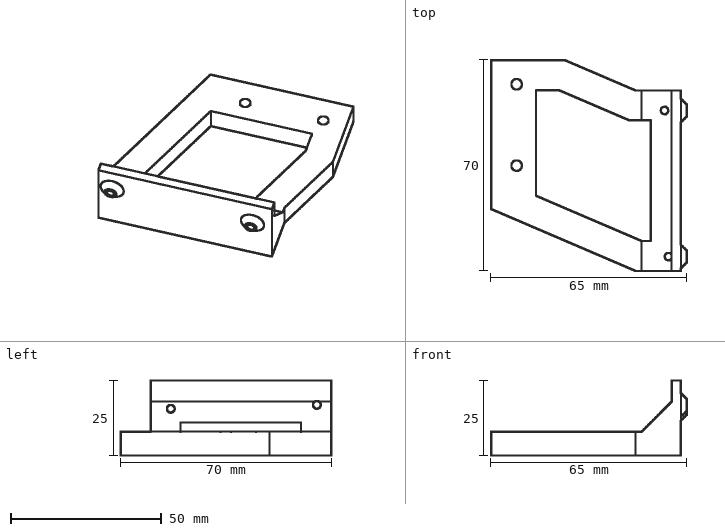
import cadquery as cq
import math

plate_thickness = 8.0
plate_width = 70.0
wall_length = 60.0
wall_outer_x = 63.0
wall_thickness = 3.0
wall_height = 25.0
wall_inner_x = wall_outer_x - wall_thickness

ramp_run = 10.0
ramp_start_x = wall_inner_x - ramp_run
ramp_top_z = plate_thickness + ramp_run

arm_slope = 3 / 7
arm_width = 10.0
arm_width_along_y = arm_width * math.hypot(1, arm_slope)

window_left_x = 15.0
window_right_x = 53.0
window_low_y = arm_width
window_high_y = wall_length - arm_width
window_top_y = plate_width - arm_width

mount_hole_diameter = 3.5
mount_hole_depth = 6.0
mount_hole_x = 8.5
mount_hole_ys = (35.0, 62.0)

boss_centers = ((4.8, 16.9), (53.3, 15.6))
boss_height = 2.0
boss_base_diameter = 8.0
boss_tip_diameter = boss_base_diameter - 2 * boss_height
boss_bore_diameter = 2.5


def lower_inner_y(x):
    """Inner edge of the lower arm, which levels off where the ramp starts."""
    return window_low_y + arm_slope * (ramp_start_x - x)


outer_left_y = lower_inner_y(0) - arm_width_along_y
outer_bend_x = outer_left_y / arm_slope
upper_bend_x = outer_bend_x - (plate_width - wall_length) / arm_slope


def upper_inner_x(y):
    """Where the inner edge of the upper arm reaches a given y."""
    return upper_bend_x + (plate_width - arm_width_along_y - y) / arm_slope


def make_body():
    """Side profile of plate, ramp and wall, swept over the full width."""
    profile = [
        (0, 0),
        (wall_outer_x, 0),
        (wall_outer_x, wall_height),
        (wall_inner_x, wall_height),
        (wall_inner_x, ramp_top_z),
        (ramp_start_x, plate_thickness),
        (0, plate_thickness),
    ]
    return cq.Workplane("XZ").polyline(profile).close().extrude(-plate_width)


def make_outline():
    """Outer plan shape of the bracket."""
    points = [
        (0, outer_left_y),
        (outer_bend_x, 0),
        (wall_outer_x, 0),
        (wall_outer_x, wall_length),
        (outer_bend_x, wall_length),
        (upper_bend_x, plate_width),
        (0, plate_width),
    ]
    return cq.Workplane("XY").polyline(points).close().extrude(wall_height)


def make_window():
    """Opening between the two arms; it also undercuts the foot of the ramp."""
    points = [
        (window_left_x, lower_inner_y(window_left_x)),
        (ramp_start_x, window_low_y),
        (window_right_x, window_low_y),
        (window_right_x, window_high_y),
        (upper_inner_x(window_high_y), window_high_y),
        (upper_inner_x(window_top_y), window_top_y),
        (window_left_x, window_top_y),
    ]
    return cq.Workplane("XY").polyline(points).close().extrude(wall_height)


def make_mount_holes():
    """Blind holes sunk from the top of the plate."""
    centers = [(mount_hole_x, y) for y in mount_hole_ys]
    top_plane = cq.Workplane("XY", origin=(0, 0, plate_thickness))
    return top_plane.pushPoints(centers).circle(mount_hole_diameter / 2).extrude(-mount_hole_depth)


def make_boss(y, z):
    """Cone tapering away from the wall."""
    cone = cq.Solid.makeCone(
        boss_base_diameter / 2,
        boss_tip_diameter / 2,
        boss_height,
        pnt=cq.Vector(wall_outer_x, y, z),
        dir=cq.Vector(1, 0, 0),
    )
    return cq.Workplane(obj=cone)


def make_bores():
    """Bores running through the ramp, wall and bosses."""
    start = cq.Workplane("YZ", origin=(ramp_start_x, 0, 0))
    bore_length = wall_outer_x + boss_height - ramp_start_x
    return start.pushPoints(boss_centers).circle(boss_bore_diameter / 2).extrude(bore_length)


result = make_body().intersect(make_outline()).cut(make_window()).cut(make_mount_holes())
for boss_y, boss_z in boss_centers:
    result = result.union(make_boss(boss_y, boss_z))
result = result.cut(make_bores())